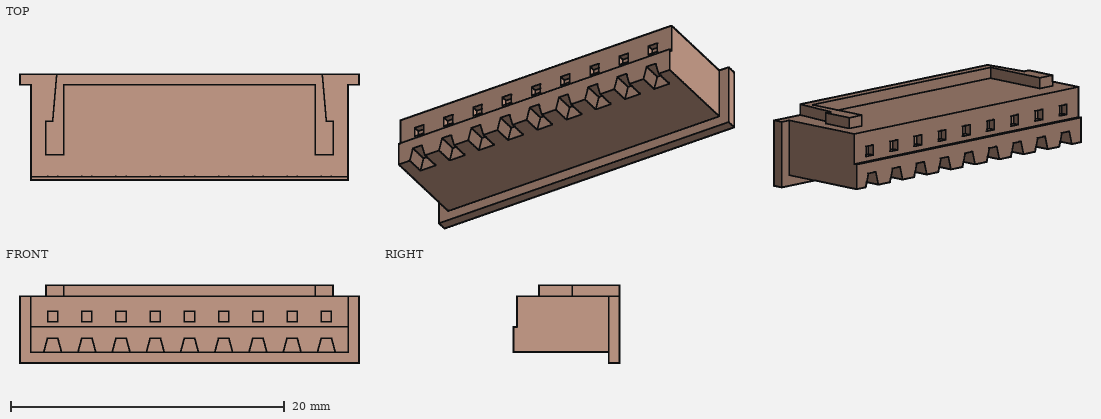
import cadquery as cq
import math


contact_count = 9
contact_pitch = 2.5
contact_positions = [(i - (contact_count - 1) / 2) * contact_pitch for i in range(contact_count)]

flange_width = 24.8
flange_thickness = 0.8
flange_overhang = 0.8
flange_drop = 0.8

housing_width = flange_width - 2 * flange_overhang
housing_top = 4.9
upper_depth = 7.5
total_depth = 7.75
step_height = 2.65

guide_height = 0.8
guide_inner_half = 9.2
guide_back_half = 9.7
guide_neck_half = 10.0
guide_pad_half = 10.5
guide_pad_start = 3.45
guide_arm_end = 5.9
guide_bar_thickness = flange_thickness

opening_size = 0.75
opening_center_height = 3.4
opening_depth = 0.5

slot_bottom_width = 1.3
slot_height = 1.0
slot_depth = 1.5
slot_wall_angle = 15
slot_top_width = slot_bottom_width - 2 * slot_height * math.tan(math.radians(slot_wall_angle))


def make_body():
    """Stepped housing with its rear flange."""
    profile = [
        (0, 0),
        (0, housing_top),
        (-upper_depth, housing_top),
        (-upper_depth, step_height),
        (-total_depth, step_height),
        (-total_depth, flange_drop),
        (-flange_thickness, flange_drop),
        (-flange_thickness, 0),
    ]
    housing = cq.Workplane("YZ").polyline(profile).close().extrude(housing_width / 2, both=True)
    flange = cq.Workplane("XY", origin=(0, -flange_thickness, 0)).box(
        flange_width, flange_thickness, housing_top, centered=(True, False, False)
    )
    return housing.union(flange)


def make_guide():
    """Flat U: a rear bar and two arms with wider pads at their ends."""
    right_half = [
        (guide_back_half, 0),
        (guide_neck_half, -guide_pad_start),
        (guide_pad_half, -guide_pad_start),
        (guide_pad_half, -guide_arm_end),
        (guide_inner_half, -guide_arm_end),
        (guide_inner_half, -guide_bar_thickness),
    ]
    left_half = [(-x, y) for x, y in reversed(right_half)]
    plane = cq.Workplane("XY").workplane(offset=housing_top)
    return plane.polyline(right_half + left_half).close().extrude(guide_height)


def make_openings():
    """Row of blind square openings in the upper front face."""
    return (
        cq.Workplane("XZ", origin=(0, -upper_depth, 0))
        .pushPoints([(x, opening_center_height) for x in contact_positions])
        .rect(opening_size, opening_size)
        .extrude(-opening_depth)
    )


def make_slot(x):
    """Trapezoidal slot in the underside, centered at x and narrowing upward."""
    slot_top = flange_drop + slot_height
    return (
        cq.Workplane("XZ", origin=(x, -total_depth, 0))
        .moveTo(-slot_bottom_width / 2, flange_drop)
        .lineTo(-slot_top_width / 2, slot_top)
        .lineTo(slot_top_width / 2, slot_top)
        .lineTo(slot_bottom_width / 2, flange_drop)
        .close()
        .extrude(-slot_depth)
    )


result = make_body().union(make_guide()).cut(make_openings())
for contact_x in contact_positions:
    result = result.cut(make_slot(contact_x))